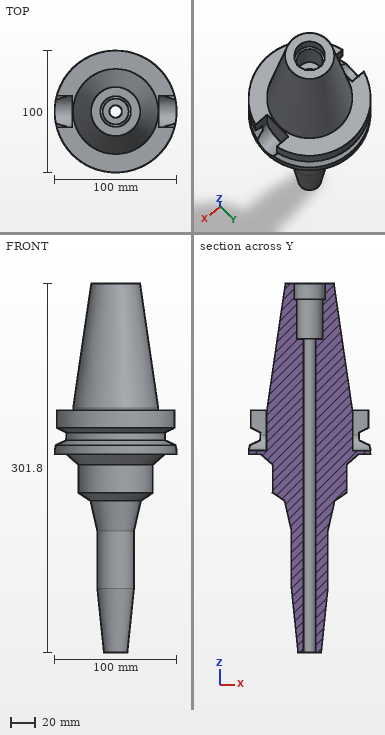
import cadquery as cq

TOTAL_LENGTH = 301.8
TAPER_LENGTH = 101.7
FACE_GAP = 1.8
FLANGE_HEIGHT = 36.2
NOSE_LENGTH = 52.5
STEM_TOP = 99.5
FLARE_TOP = 124.0
COLLAR_BOTTOM = 130.7
COLLAR_TOP = 153.5
TAPER_BOTTOM = TOTAL_LENGTH - TAPER_LENGTH
FLANGE_TOP = TAPER_BOTTOM - FACE_GAP
FLANGE_BOTTOM = FLANGE_TOP - FLANGE_HEIGHT

NOSE_DIAMETER = 19.3
STEM_DIAMETER = 30.2
FLARE_DIAMETER = 41.3
COLLAR_DIAMETER = 61.0
CONE_DIAMETER = 80.3
FLANGE_DIAMETER = 100.0
TAPER_LARGE_DIAMETER = 69.7
TAPER_RATIO = 7 / 24
TAPER_SMALL_DIAMETER = TAPER_LARGE_DIAMETER - TAPER_LENGTH * TAPER_RATIO

LOWER_RIM_HEIGHT = 7.5
UPPER_RIM_HEIGHT = 14.5
GROOVE_DIAMETER = 84.8
GROOVE_WALL_HEIGHT = 4.0
LOWER_RIM_TOP = FLANGE_BOTTOM + LOWER_RIM_HEIGHT
UPPER_RIM_BOTTOM = FLANGE_TOP - UPPER_RIM_HEIGHT

KEYWAY_WIDTH = 25.7
KEYWAY_DEPTH = 33.0
KEYWAY_FLOOR = 35.3
KEYWAY_CUT = FLANGE_DIAMETER / 2 - KEYWAY_FLOOR

THROUGH_DIAMETER = 10.0
ENTRY_DIAMETER = 25.0
ENTRY_DEPTH = 13.0
THREAD_DIAMETER = 21.0
BORE_DEPTH = 45.3


def turned_body():
    """Revolve the half outline, listed as (diameter, height) from the nose up."""
    outline = [
        (0, 0),
        (NOSE_DIAMETER, 0),
        (STEM_DIAMETER, NOSE_LENGTH),
        (STEM_DIAMETER, STEM_TOP),
        (FLARE_DIAMETER, FLARE_TOP),
        (COLLAR_DIAMETER, COLLAR_BOTTOM),
        (COLLAR_DIAMETER, COLLAR_TOP),
        (CONE_DIAMETER, FLANGE_BOTTOM),
        (FLANGE_DIAMETER, FLANGE_BOTTOM),
        (FLANGE_DIAMETER, LOWER_RIM_TOP),
        (GROOVE_DIAMETER, LOWER_RIM_TOP + GROOVE_WALL_HEIGHT),
        (GROOVE_DIAMETER, UPPER_RIM_BOTTOM - GROOVE_WALL_HEIGHT),
        (FLANGE_DIAMETER, UPPER_RIM_BOTTOM),
        (FLANGE_DIAMETER, FLANGE_TOP),
        (TAPER_LARGE_DIAMETER, FLANGE_TOP),
        (TAPER_LARGE_DIAMETER, TAPER_BOTTOM),
        (TAPER_SMALL_DIAMETER, TOTAL_LENGTH),
        (0, TOTAL_LENGTH),
    ]
    points = [(diameter / 2, height) for diameter, height in outline]
    return cq.Workplane("XZ").polyline(points).close().revolve(360, (0, 0), (0, 1))


def keyway(side):
    """Round-ended cutter on one side: +1 for +X, -1 for -X."""
    radius = KEYWAY_WIDTH / 2
    arc_center = FLANGE_TOP - KEYWAY_DEPTH + radius
    return (
        cq.Workplane("YZ", origin=(side * KEYWAY_FLOOR, 0, 0))
        .moveTo(-radius, FLANGE_TOP)
        .lineTo(-radius, arc_center)
        .threePointArc((0, arc_center - radius), (radius, arc_center))
        .lineTo(radius, FLANGE_TOP)
        .close()
        .extrude(side * KEYWAY_CUT)
    )


def bore(diameter, depth):
    """Cylinder running down the axis from the small end of the taper."""
    return cq.Workplane("XY", origin=(0, 0, TOTAL_LENGTH)).circle(diameter / 2).extrude(-depth)


result = turned_body()
for side in (1, -1):
    result = result.cut(keyway(side))

bore_steps = [
    (ENTRY_DIAMETER, ENTRY_DEPTH),
    (THREAD_DIAMETER, BORE_DEPTH),
    (THROUGH_DIAMETER, TOTAL_LENGTH),
]
for diameter, depth in bore_steps:
    result = result.cut(bore(diameter, depth))